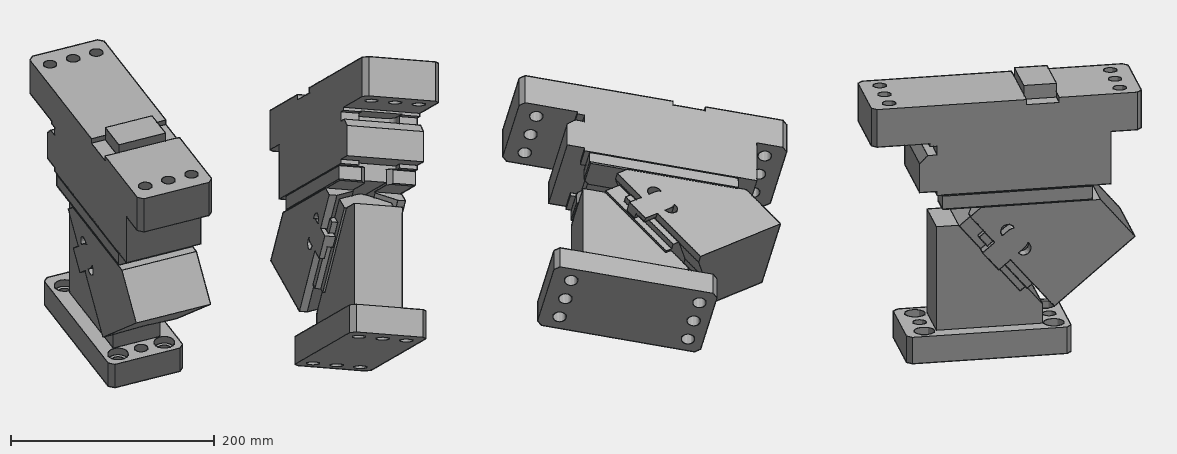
import cadquery as cq
import math

WIDTH = 80.0
HALF_WIDTH = WIDTH / 2
CORNER_CHAMFER = 5.0
BOLT_HOLE_DIAMETER = 13.0
BOLT_ROW_HALF_PITCH = 24.8
BOLT_EDGE_DISTANCE = 19.8
KEY_HALF_WIDTH = 25.0

BASE_TOP = 28.0
COLUMN_TOP = 136.7
SLIDER_TOP = 159.5
WEAR_PLATE_THICKNESS = 15.5
HOLDER_BOTTOM = SLIDER_TOP + WEAR_PLATE_THICKNESS
FLANGE_BOTTOM = 230.2
FLANGE_TOP = 269.8
KEY_TOP = 279.0

SLOPE_ANGLE = 50.0
SLOPE_COS = math.cos(math.radians(SLOPE_ANGLE))
SLOPE_SIN = math.sin(math.radians(SLOPE_ANGLE))
SLOPE_START_X = -45.8
ROOF_ANGLE = 30.0
ROOF_APEX_V = 34.0
ROOF_FLAT_HALF_WIDTH = 2.8
ROOF_TAN = math.tan(math.radians(ROOF_ANGLE))

BASE_LEFT, BASE_RIGHT = -100.0, 64.7
BASE_RIGHT_EDGE_DISTANCE = 15.3
COUNTERBORE_DIAMETER = 20.0
COUNTERBORE_DEPTH = 7.8
COLUMN_LEFT, COLUMN_RIGHT = -68.0, 38.2
RAIL_LENGTH = 94.9
RAIL_HALF_WIDTH = 27.3
RAIL_FLANGE_HALF_WIDTH = 33.5
RAIL_FLANGE_START_U = 20.5
RAIL_FLANGE_V = 7.3

SLIDER_START_U, SLIDER_END_U = -5.0, 125.5
SLIDER_BOTTOM_V, SLIDER_BACK_V = 15.5, 121.0
CLAW_START_U = 32.6
CLAW_LENGTH = 25.0
CLAW_INNER_HALF_WIDTH = 34.5
LIP_HALF_WIDTH = 28.7
LIP_LENGTH = 12.0
SHANK_ROUND_V = 33.0
SIDE_HOLE_RADIUS = 7.0
SIDE_HOLE_DEPTH = 12.5
WEAR_PLATE_LEFT, WEAR_PLATE_RIGHT = -65.0, 85.0
WEAR_PLATE_EDGE = 1.0
SLOT_HALF_WIDTH = 11.5
SLOT_MOUTH_CHAMFER = 5.0
SLOT_END_X = 28.0
SLOT_FLOOR = 153.5

HOLDER_HALF_LENGTH = 135.0
BLOCK_LEFT, BLOCK_RIGHT = -70.0, 103.8
NOSE_LEFT, NOSE_TOP_LEFT = -87.5, -79.5
NOSE_BOTTOM, NOSE_CHAMFER_Z, NOSE_TOP = 179.5, 209.8, 218.0
NOTCH_ROOF = 227.0
NOTCH_ROOF_LEFT = -77.3
KEYWAY_LEFT, KEYWAY_RIGHT = 19.3, 52.0
KEYWAY_FLOOR = 264.5
POCKET_HALF_WIDTH = 21.2
POCKET_TOP = 228.0
POCKET_END_X = -53.0
POCKET_CORNER_RADIUS = 10.3
PAD_HALF_WIDTH = 11.2
PAD_HEIGHT = 2.0
PAD_LENGTH = 2.8
TENON_LEFT = WEAR_PLATE_LEFT + SLOT_MOUTH_CHAMFER
TENON_BOTTOM = 162.0


def box(x_range, y_range, z_range):
    """Axis-aligned box between the given limits."""
    size = [high - low for low, high in (x_range, y_range, z_range)]
    corner = (x_range[0], y_range[0], z_range[0])
    return cq.Workplane("XY").box(*size, centered=False).translate(corner)


def centred_box(x_range, half_width, z_range):
    """Box that is symmetric about the XZ plane."""
    return box(x_range, (-half_width, half_width), z_range)


def side_prism(points, half_width):
    """XZ outline extruded equally to both sides of the XZ plane."""
    return cq.Workplane("XZ").polyline(points).close().extrude(half_width, both=True)


def slope_to_xz(u, v):
    """X and Z of a point given in slide coordinates."""
    x = SLOPE_START_X + u * SLOPE_COS + v * SLOPE_SIN
    z = COLUMN_TOP - u * SLOPE_SIN + v * SLOPE_COS
    return x, z


def slope_plane(u):
    """Plane square to the slide at distance u: local x is Y, local y is v."""
    x, z = slope_to_xz(u, 0)
    normal = (SLOPE_COS, 0, -SLOPE_SIN)
    return cq.Plane(origin=(x, 0, z), xDir=(0, 1, 0), normal=normal)


def slope_box(u_range, y_range, v_range):
    """Box aligned with the slide."""
    y_centre = sum(y_range) / 2
    v_centre = sum(v_range) / 2
    return (
        cq.Workplane(slope_plane(u_range[0]))
        .center(y_centre, v_centre)
        .rect(y_range[1] - y_range[0], v_range[1] - v_range[0])
        .extrude(u_range[1] - u_range[0])
    )


def roofed_prism(u_range, half_width, bottom_v):
    """Bar along the slide whose top is the V roof."""
    eave_v = ROOF_APEX_V - half_width * ROOF_TAN
    ridge_v = ROOF_APEX_V - ROOF_FLAT_HALF_WIDTH * ROOF_TAN
    outline = [
        (-half_width, bottom_v),
        (half_width, bottom_v),
        (half_width, eave_v),
        (ROOF_FLAT_HALF_WIDTH, ridge_v),
        (-ROOF_FLAT_HALF_WIDTH, ridge_v),
        (-half_width, eave_v),
    ]
    profile = cq.Workplane(slope_plane(u_range[0])).polyline(outline).close()
    return profile.extrude(u_range[1] - u_range[0])


def bolt_rows(x_positions, y_positions):
    """Points of a rectangular hole pattern."""
    return [(x, y) for x in x_positions for y in y_positions]


def mounting_plate(x_range, z_range):
    """Plate with chamfered vertical corners."""
    return centred_box(x_range, HALF_WIDTH, z_range).edges("|Z").chamfer(CORNER_CHAMFER)


def driver_base():
    plate = mounting_plate((BASE_LEFT, BASE_RIGHT), (0, BASE_TOP))
    rows = (BASE_LEFT + BOLT_EDGE_DISTANCE, BASE_RIGHT - BASE_RIGHT_EDGE_DISTANCE)
    corner_points = bolt_rows(rows, (-BOLT_ROW_HALF_PITCH, BOLT_ROW_HALF_PITCH))
    top = cq.Workplane("XY", origin=(0, 0, BASE_TOP))
    hole_points = corner_points + bolt_rows(rows, (0,))
    holes = top.pushPoints(hole_points).circle(BOLT_HOLE_DIAMETER / 2).extrude(-BASE_TOP)
    counterbores = top.pushPoints(corner_points).circle(COUNTERBORE_DIAMETER / 2).extrude(-COUNTERBORE_DEPTH)
    return plate.cut(holes).cut(counterbores)


def driver_column():
    shoulder = slope_to_xz(0, RAIL_FLANGE_V)
    right_corner_z = shoulder[1] - (COLUMN_RIGHT - shoulder[0]) * SLOPE_SIN / SLOPE_COS
    outline = [
        (COLUMN_LEFT, BASE_TOP),
        (COLUMN_LEFT, COLUMN_TOP),
        (SLOPE_START_X, COLUMN_TOP),
        shoulder,
        (COLUMN_RIGHT, right_corner_z),
        (COLUMN_RIGHT, BASE_TOP),
    ]
    return side_prism(outline, KEY_HALF_WIDTH)


def make_driver():
    rail = roofed_prism((0, RAIL_LENGTH), RAIL_HALF_WIDTH, 0)
    flange = roofed_prism((RAIL_FLANGE_START_U, RAIL_LENGTH), RAIL_FLANGE_HALF_WIDTH, RAIL_FLANGE_V)
    return driver_base().union(driver_column()).union(rail).union(flange)


def slider_wedge():
    wedge = slope_box(
        (SLIDER_START_U, SLIDER_END_U), (-HALF_WIDTH, HALF_WIDTH), (SLIDER_BOTTOM_V, SLIDER_BACK_V)
    )
    right_of_wedge = slope_to_xz(SLIDER_END_U, SLIDER_BACK_V)[0]
    top_of_wedge = slope_to_xz(SLIDER_START_U, SLIDER_BACK_V)[1]
    above = centred_box((WEAR_PLATE_LEFT, right_of_wedge), HALF_WIDTH, (SLIDER_TOP, top_of_wedge))
    groove = roofed_prism((SLIDER_START_U, SLIDER_END_U), RAIL_FLANGE_HALF_WIDTH, RAIL_FLANGE_V)
    return wedge.cut(above).cut(groove)


def claw():
    """Claw of the +Y side: a cheek beside the rail flange with a lip hooked below it."""
    cheek = slope_box(
        (CLAW_START_U, CLAW_START_U + CLAW_LENGTH), (CLAW_INNER_HALF_WIDTH, HALF_WIDTH), (0, SLIDER_BOTTOM_V)
    )
    lip = slope_box(
        (CLAW_START_U, CLAW_START_U + LIP_LENGTH), (LIP_HALF_WIDTH, HALF_WIDTH), (0, RAIL_FLANGE_V)
    )
    return cheek.union(lip)


def side_holes():
    """Crescent holes of the +Y side: a disc at each edge of the claw's round-topped shank, less the shank."""
    claw_end_u = CLAW_START_U + CLAW_LENGTH
    centres = [slope_to_xz(u, SHANK_ROUND_V) for u in (CLAW_START_U, claw_end_u)]
    shank_centre = slope_to_xz(CLAW_START_U + CLAW_LENGTH / 2, SHANK_ROUND_V)
    side = cq.Workplane("XZ", origin=(0, HALF_WIDTH, 0))
    discs = side.pushPoints(centres).circle(SIDE_HOLE_RADIUS).extrude(SIDE_HOLE_DEPTH)
    shank_top = side.pushPoints([shank_centre]).circle(CLAW_LENGTH / 2).extrude(SIDE_HOLE_DEPTH)
    shank = slope_box(
        (CLAW_START_U, claw_end_u),
        (HALF_WIDTH - SIDE_HOLE_DEPTH, HALF_WIDTH),
        (SLIDER_BOTTOM_V, SHANK_ROUND_V),
    )
    return discs.cut(shank_top).cut(shank)


def wear_plate():
    plate = centred_box((WEAR_PLATE_LEFT, WEAR_PLATE_RIGHT), HALF_WIDTH, (SLIDER_TOP, HOLDER_BOTTOM))
    return plate.faces("<Z or >Z").edges().chamfer(WEAR_PLATE_EDGE)


def tenon_slot():
    """Slot open at the left end, with its mouth widened by chamfers."""
    mouth_half_width = SLOT_HALF_WIDTH + SLOT_MOUTH_CHAMFER
    outline = [
        (SLOT_END_X, -SLOT_HALF_WIDTH),
        (SLOT_END_X, SLOT_HALF_WIDTH),
        (TENON_LEFT, SLOT_HALF_WIDTH),
        (WEAR_PLATE_LEFT, mouth_half_width),
        (WEAR_PLATE_LEFT, -mouth_half_width),
        (TENON_LEFT, -SLOT_HALF_WIDTH),
    ]
    floor = cq.Workplane("XY", origin=(0, 0, SLOT_FLOOR))
    return floor.polyline(outline).close().extrude(HOLDER_BOTTOM - SLOT_FLOOR)


def make_slider():
    slider = slider_wedge().union(wear_plate()).cut(tenon_slot())
    slider = slider.union(claw()).union(claw().mirror("XZ"))
    return slider.cut(side_holes()).cut(side_holes().mirror("XZ"))


def holder_block():
    outline = [
        (NOTCH_ROOF_LEFT, FLANGE_BOTTOM),
        (NOTCH_ROOF_LEFT, NOTCH_ROOF),
        (BLOCK_LEFT, NOTCH_ROOF),
        (BLOCK_LEFT, NOSE_TOP),
        (NOSE_TOP_LEFT, NOSE_TOP),
        (NOSE_LEFT, NOSE_CHAMFER_Z),
        (NOSE_LEFT, NOSE_BOTTOM),
        (BLOCK_LEFT, NOSE_BOTTOM),
        (BLOCK_LEFT, HOLDER_BOTTOM),
        (BLOCK_RIGHT, HOLDER_BOTTOM),
        (BLOCK_RIGHT, FLANGE_BOTTOM),
    ]
    return side_prism(outline, HALF_WIDTH)


def notch_pocket():
    """Round-cornered pocket behind the notch, with a low pad left on its floor."""
    pocket = centred_box((NOTCH_ROOF_LEFT, POCKET_END_X), POCKET_HALF_WIDTH, (NOSE_TOP, POCKET_TOP))
    pocket = pocket.edges("|Z and >X").fillet(POCKET_CORNER_RADIUS)
    pad = centred_box(
        (POCKET_END_X - PAD_LENGTH, POCKET_END_X), PAD_HALF_WIDTH, (NOSE_TOP, NOSE_TOP + PAD_HEIGHT)
    )
    return pocket.cut(pad)


def flange_bolt_holes():
    row_x = HOLDER_HALF_LENGTH - BOLT_EDGE_DISTANCE
    points = bolt_rows((-row_x, row_x), (-BOLT_ROW_HALF_PITCH, 0, BOLT_ROW_HALF_PITCH))
    bottom = cq.Workplane("XY", origin=(0, 0, FLANGE_BOTTOM))
    return bottom.pushPoints(points).circle(BOLT_HOLE_DIAMETER / 2).extrude(FLANGE_TOP - FLANGE_BOTTOM)


def make_holder():
    flange = mounting_plate((-HOLDER_HALF_LENGTH, HOLDER_HALF_LENGTH), (FLANGE_BOTTOM, FLANGE_TOP))
    keyway = centred_box((KEYWAY_LEFT, KEYWAY_RIGHT), HALF_WIDTH, (KEYWAY_FLOOR, FLANGE_TOP))
    key = centred_box((KEYWAY_LEFT, KEYWAY_RIGHT), KEY_HALF_WIDTH, (KEYWAY_FLOOR, KEY_TOP))
    tenon_relief = centred_box((BLOCK_LEFT, TENON_LEFT), POCKET_HALF_WIDTH, (HOLDER_BOTTOM, NOSE_BOTTOM))
    tenon = centred_box((TENON_LEFT, SLOT_END_X), SLOT_HALF_WIDTH, (TENON_BOTTOM, HOLDER_BOTTOM))
    holder = flange.union(holder_block()).cut(flange_bolt_holes()).cut(keyway)
    return holder.cut(notch_pocket()).cut(tenon_relief).union(key).union(tenon)


driver = make_driver()
slider = make_slider()
holder = make_holder()

result = cq.Compound.makeCompound([driver.solids().val(), slider.solids().val(), holder.solids().val()])